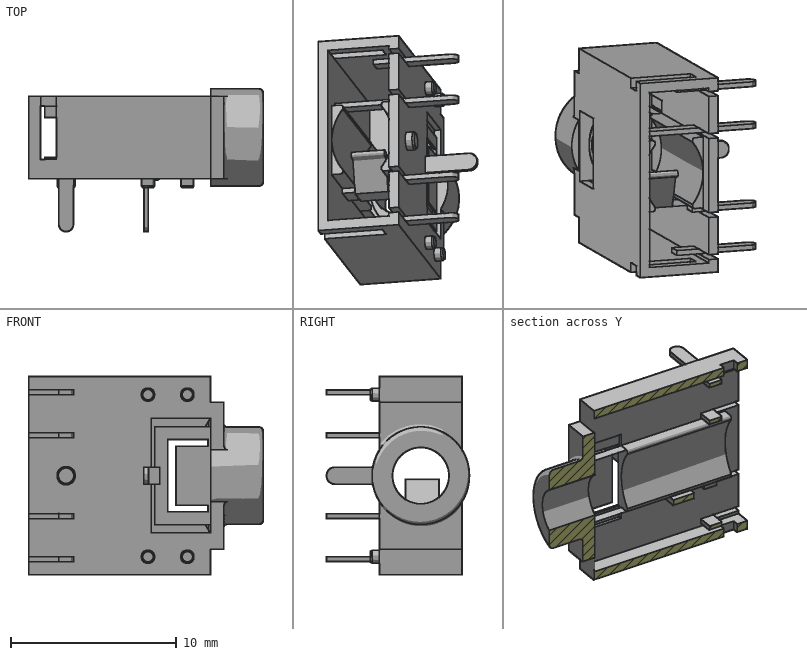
import cadquery as cq
import math


body_length = 11.0
body_depth = 5.0
body_height = 12.0
wall = 0.6
cavity_end = 10.9
plug_axis_y = body_depth / 2

flange_end = 11.8
flange_height = 8.9
barrel_end = 14.2
barrel_radius = 5.9 / 2
barrel_edge_radius = 0.3
barrel_root_radius = 0.2
bore_diameter = 3.4

side_slot_start = 0.73
side_slot_end = 1.68
side_slot_floor = 1.18

guide_start = 0.98
guide_half_height = 2.19
guide_tip_offset = 1.2
guide_tip_half_height = 1.93
guide_web_offset = 1.88
guide_corner_radius = 0.15

recess_start = 7.43
recess_half_height = 3.46
recess_depth = 0.38
plate_start = 7.64
plate_half_height = 2.97
plate_depth = 0.25
pit_length = 0.31

opening_start = 8.42
opening_end = 10.84
opening_half_height = 2.18
tongue_start = 8.91
tongue_half_height = 1.79

peg_height = 0.54
peg_bevel_height = 0.12
peg_bevel_width = 0.08
small_peg_diameter = 0.8
small_peg_x = (7.22, 9.6)
small_peg_z = 4.9
large_peg_diameter = 1.1
large_peg_x = 2.27

pin_tip = -3.2
pin_thickness = 0.3
pin_width = 0.9
pin_x = large_peg_x
outer_pin_z = 5.04
inner_pin_z = 2.44
outer_pin_root = 2.0
upper_pin_root = body_depth - wall
lower_pin_root = 1.0

sleeve_pin_start = 6.97
sleeve_pin_thickness = 0.27
sleeve_pin_width = 1.04
sleeve_tip_radius = 0.51
foot_end = 7.94
foot_proud = 0.09
foot_inner_radius = 0.28
foot_outer_radius = 0.2

spring_y_min = 1.57
spring_y_max = 3.61
spring_thickness = 0.38
spring_lean = math.radians(16)
spring_tip_x = 2.8
spring_tip_top = -0.21
spring_bend_radius = 0.32
base_top = -2.19
base_bottom = -inner_pin_z - pin_thickness / 2
base_thickness = 0.3
base_length = 1.5


def box(x0, x1, y0, y1, z0, z1):
    """Axis-aligned box between two corners."""
    return cq.Workplane("XY").box(x1 - x0, y1 - y0, z1 - z0, centered=False).translate((x0, y0, z0))


def sym_box(x0, x1, y0, y1, half_height):
    """Box that is symmetric about Z = 0."""
    return box(x0, x1, y0, y1, -half_height, half_height)


def x_cylinder(radius, x0, x1):
    """Cylinder on the plug axis."""
    return cq.Workplane("YZ", origin=(x0, plug_axis_y, 0)).circle(radius).extrude(x1 - x0)


def make_barrel():
    """Barrel with a rounded mouth and a root fillet kept within the housing depth."""
    barrel = x_cylinder(barrel_radius, body_length, barrel_end).faces(">X").edges().fillet(barrel_edge_radius)
    root_end = flange_end + barrel_root_radius
    arc_offset = barrel_root_radius * (1 - math.sqrt(0.5))
    collar = (
        cq.Workplane("XY")
        .moveTo(flange_end, 0)
        .lineTo(flange_end, barrel_radius + barrel_root_radius)
        .threePointArc((flange_end + arc_offset, barrel_radius + arc_offset), (root_end, barrel_radius))
        .lineTo(root_end, 0)
        .close()
        .revolve(360, (0, 0, 0), (1, 0, 0))
        .translate((0, plug_axis_y, 0))
    )
    collar = collar.intersect(sym_box(flange_end, root_end, 0, body_depth, body_height))
    return barrel.union(collar)


def make_guides():
    """Pair of concave plug guides along the cavity."""
    reach = body_depth / 2 - wall
    guide = (
        cq.Workplane("YZ", origin=(guide_start, plug_axis_y, 0))
        .moveTo(reach, -guide_half_height)
        .lineTo(guide_tip_offset, -guide_half_height)
        .lineTo(guide_tip_offset, -guide_tip_half_height)
        .threePointArc((guide_web_offset, 0), (guide_tip_offset, guide_tip_half_height))
        .lineTo(guide_tip_offset, guide_half_height)
        .lineTo(reach, guide_half_height)
        .close()
        .extrude(cavity_end - guide_start)
    )
    corner_y = plug_axis_y + guide_tip_offset
    for z in (-guide_half_height, guide_half_height):
        corner = cq.selectors.NearestToPointSelector(((guide_start + cavity_end) / 2, corner_y, z))
        guide = guide.edges(corner).fillet(guide_corner_radius)
    return guide.union(guide.mirror("XZ", (0, plug_axis_y, 0)))


def make_recess():
    """Pocket in the board face around the raised plate, with a triangular pit in two corners."""
    pocket = sym_box(recess_start, body_length, 0, recess_depth, recess_half_height)
    plate = sym_box(plate_start, body_length, plate_depth, recess_depth, plate_half_height)
    pit = (
        cq.Workplane("XZ", origin=(0, wall, 0))
        .moveTo(body_length, recess_half_height)
        .lineTo(body_length - pit_length, plate_half_height)
        .lineTo(body_length, plate_half_height)
        .close()
        .extrude(wall - recess_depth)
    )
    return pocket.cut(plate).union(pit).union(pit.mirror("XY"))


def make_opening():
    """Window through both broad walls, leaving the tongue; the board wall is cut wider under the plate."""
    opening = sym_box(opening_start, opening_end, 0, body_depth, opening_half_height)
    relief = sym_box(opening_start, opening_end, recess_depth, wall, plate_half_height)
    tongue = sym_box(tongue_start, opening_end, plate_depth, recess_depth, tongue_half_height)
    return opening.union(relief).cut(tongue)


def make_housing():
    """Hollow housing, open at the rear, with barrel, guides, openings and pin slots."""
    half_height = body_height / 2
    housing = sym_box(0, body_length, 0, body_depth, half_height)
    housing = housing.union(sym_box(body_length, flange_end, 0, body_depth, flange_height / 2))
    housing = housing.union(make_barrel())
    housing = housing.cut(sym_box(0, cavity_end, wall, body_depth - wall, half_height - wall))
    housing = housing.union(make_guides())
    housing = housing.cut(x_cylinder(bore_diameter / 2, cavity_end, barrel_end))
    housing = housing.cut(make_recess()).cut(make_opening())
    for z in (-half_height, half_height - wall):
        housing = housing.cut(box(side_slot_start, side_slot_end, side_slot_floor, body_depth, z, z + wall))
    for z in (-outer_pin_z, -inner_pin_z, inner_pin_z, outer_pin_z):
        low = z - pin_thickness / 2
        housing = housing.cut(box(0, pin_x, 0, wall, low, low + pin_thickness))
    return housing


def make_peg(x, z, diameter):
    """Locating peg on the board face with a bevelled end."""
    return (
        cq.Workplane("XZ", origin=(x, 0, z))
        .circle(diameter / 2)
        .extrude(peg_height)
        .faces("<Y")
        .chamfer(peg_bevel_height, peg_bevel_width)
    )


def make_pin(z, root):
    """Flat solder pin with a round tip, reaching from the tip to root along Y."""
    half_width = pin_width / 2
    shoulder = pin_tip + half_width
    return (
        cq.Workplane("XY", origin=(pin_x, 0, z - pin_thickness / 2))
        .moveTo(-half_width, root)
        .lineTo(-half_width, shoulder)
        .threePointArc((0, pin_tip), (half_width, shoulder))
        .lineTo(half_width, root)
        .close()
        .extrude(pin_thickness)
    )


def make_sleeve_pin():
    """Pin across the others, bent into a foot that enters the recess plate."""
    half_width = sleeve_pin_width / 2
    pin_face = sleeve_pin_start + sleeve_pin_thickness
    pin = (
        cq.Workplane("XY", origin=(0, 0, -half_width))
        .moveTo(sleeve_pin_start, recess_depth)
        .lineTo(sleeve_pin_start, pin_tip)
        .lineTo(pin_face, pin_tip)
        .lineTo(pin_face, -foot_proud - foot_inner_radius)
        .radiusArc((pin_face + foot_inner_radius, -foot_proud), foot_inner_radius)
        .lineTo(foot_end - foot_outer_radius, -foot_proud)
        .radiusArc((foot_end, foot_outer_radius - foot_proud), -foot_outer_radius)
        .lineTo(foot_end, recess_depth)
        .close()
        .extrude(sleeve_pin_width)
    )
    tip_edges = pin.faces("<Y").edges("|X")
    return tip_edges.fillet(sleeve_tip_radius)


def make_spring():
    """Contact strip that rises from its base, leans back and bends over to a round tip."""
    run = math.sin(spring_lean)
    rise = math.cos(spring_lean)
    tip_radius = spring_thickness / 2
    start_x = spring_tip_x + tip_radius
    bend_z = spring_tip_top - spring_thickness - spring_bend_radius
    outer_radius = spring_bend_radius + spring_thickness
    mid_angle = (math.pi / 2 + spring_lean) / 2

    def bend_point(radius, angle):
        return (start_x + radius * math.cos(angle), bend_z + radius * math.sin(angle))

    def foot_point(radius):
        top_x, top_z = bend_point(radius, spring_lean)
        return (top_x + (top_z - base_bottom) * run / rise, base_bottom)

    strip = (
        cq.Workplane("XZ", origin=(0, spring_y_max, 0))
        .moveTo(*bend_point(spring_bend_radius, math.pi / 2))
        .threePointArc(
            bend_point(spring_bend_radius, mid_angle),
            bend_point(spring_bend_radius, spring_lean),
        )
        .lineTo(*foot_point(spring_bend_radius))
        .lineTo(*foot_point(outer_radius))
        .lineTo(*bend_point(outer_radius, spring_lean))
        .threePointArc(bend_point(outer_radius, mid_angle), (start_x, spring_tip_top))
        .threePointArc(
            (spring_tip_x, spring_tip_top - tip_radius),
            (start_x, spring_tip_top - spring_thickness),
        )
        .close()
        .extrude(spring_y_max - spring_y_min)
    )
    base_x = foot_point(spring_bend_radius)[0]
    base_end = base_x + base_length
    base = box(base_x, base_end, wall, body_depth - wall, base_top - base_thickness, base_top)
    step = box(base_x, base_end, wall, spring_y_max, base_bottom, base_top)
    half_width = pin_width / 2
    pin_block = box(pin_x - half_width, pin_x + half_width, wall, lower_pin_root, base_bottom, base_top)
    return strip.union(base).union(step).union(pin_block)


result = make_housing()
for z in (-small_peg_z, small_peg_z):
    for x in small_peg_x:
        result = result.union(make_peg(x, z, small_peg_diameter))
result = result.union(make_peg(large_peg_x, 0, large_peg_diameter))
for z in (-outer_pin_z, outer_pin_z):
    result = result.union(make_pin(z, outer_pin_root))
result = result.union(make_pin(inner_pin_z, upper_pin_root))
result = result.union(make_pin(-inner_pin_z, lower_pin_root))
result = result.union(make_sleeve_pin())
result = result.union(make_spring())